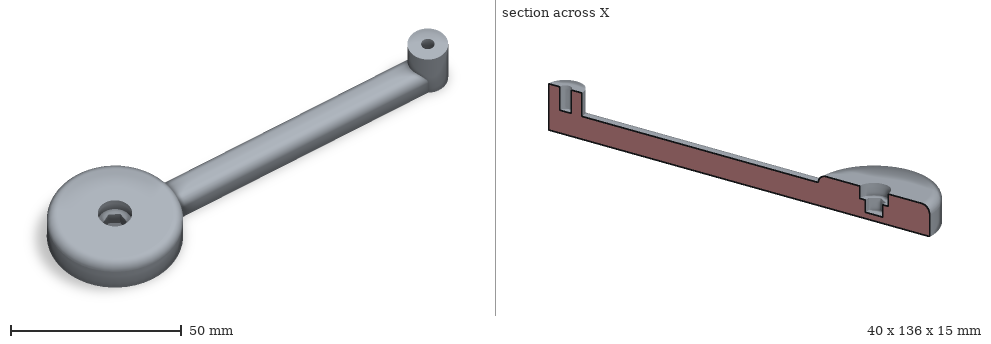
import cadquery as cq

hub_diameter = 40.0
hub_height = 10.0
hub_fillet = 3.0
recess_diameter = 10.0
recess_depth = 4.0
hex_depth = 4.0
hex_across_corners = 7.0

post_distance = 110.0
post_diameter = 12.0
post_height = 15.0
post_hole_diameter = 4.0

arm_width = 10.0
arm_height = 7.5
arm_fillet = 3.0


def make_hub():
    disc = cq.Workplane("XY").circle(hub_diameter / 2).extrude(hub_height)
    return disc.faces(">Z").edges().fillet(hub_fillet)


def make_arm():
    bar = cq.Workplane("XY").box(arm_width, post_distance, arm_height, centered=(True, False, False))
    return bar.edges("|Y and >Z").fillet(arm_fillet)


def make_post():
    return cq.Workplane("XY").center(0, post_distance).circle(post_diameter / 2).extrude(post_height)


def make_hub_socket():
    """Round recess in the top face over a blind hexagonal socket."""
    recess_floor = hub_height - recess_depth
    socket_floor = recess_floor - hex_depth
    hexagon = cq.Workplane("XY", origin=(0, 0, socket_floor)).polygon(6, hex_across_corners).extrude(hex_depth)
    recess = cq.Workplane("XY", origin=(0, 0, recess_floor)).circle(recess_diameter / 2).extrude(recess_depth)
    return hexagon.union(recess)


def make_post_hole():
    """Blind hole from the post's top face down to the level of the arm's top."""
    hole = cq.Workplane("XY", origin=(0, post_distance, arm_height)).circle(post_hole_diameter / 2)
    return hole.extrude(post_height - arm_height)


body = make_hub().union(make_arm()).union(make_post())
result = body.cut(make_hub_socket()).cut(make_post_hole())